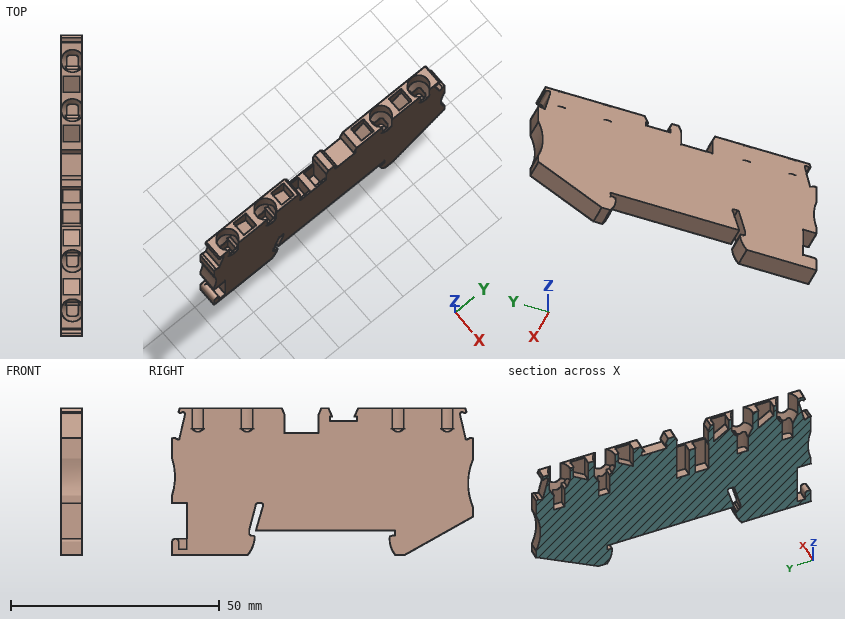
import cadquery as cq
import math

WIDTH = 5.15
LENGTH = 72.2
HEIGHT = 35.25
END = LENGTH / 2

LIP_TOP_Y = 34.25
LIP_TIP = (34.55, 34.35)
LIP_HEEL = (34.2, 34.0)
GROOVE_ROOF = (33.6, 34.25)
GROOVE_CORNER_MID = (33.1, 34.1)
GROOVE_TOP = (33.0, 33.7)
GROOVE_BOTTOM = (34.35, 27.95)
GROOVE_FLOOR_MID = (34.45, 27.72)
GROOVE_LEDGE = (34.7, 27.75)
LEDGE_PEAK = (35.45, 28.15)
END_TOP_Z = 28.05

BACK_HOLLOW_TOP_Z = 22.9
BACK_HOLLOW_BOTTOM_Z = 11.5
BACK_HOLLOW_DEPTH = 1.15
FRONT_HOLLOW_TOP_Z = 23.2
FRONT_HOLLOW_BOTTOM_Z = 14.3
FRONT_HOLLOW_DEPTH = 0.7

SLOPE_TOP_Z = 9.2
SLOPE_BOTTOM_Y = 19.7
FOOT_BOTTOM_Y = 17.45
FOOT_SIDE_MID = (16.5, 1.6)
FOOT_SIDE_TOP = (16.05, 3.9)
FOOT_NOSE = (16.1, 4.5)
FOOT_HEEL = (16.95, 4.75)
RAIL_WALL_Y = 17.35
RAIL_SEAT_Z = 5.9

SLOT_MOUTH_Y = -16.0
SLOT_LEFT_TOP = (-14.3, 11.8)
SLOT_LEFT_CORNER_MID = (-14.35, 12.3)
SLOT_ROOF_Y = (-14.7, -15.6)
SLOT_ROOF_Z = 12.45
SLOT_RIGHT_CORNER_MID = (-15.9, 12.2)
SLOT_RIGHT_TOP = (-16.05, 11.7)
SLOT_RIGHT_BOTTOM = (-17.55, 6.0)
CLAW_WALL = (-17.55, 5.0)
CLAW_HEEL = (-17.1, 4.65)
CLAW_NOSE = (-16.45, 4.65)
CLAW_NOSE_LOW = (-16.2, 4.3)
CLAW_SIDE_MID = (-16.8, 1.85)
CLAW_BOTTOM_Y = -17.95

RECESS_DEPTH = 3.55
RECESS_TOP_Z = 12.45
RECESS_BOTTOM_Z = 3.95
RECESS_LIP_THICKNESS = 1.6
RECESS_LIP_RADIUS = RECESS_LIP_THICKNESS / 2
RECESS_WEB = 0.75
RECESS_PIT_DEPTH = 2.5

LABEL_FLOOR_Z = 32.2
LABEL_SNAP_Z = 33.2
LABEL_BACK_Y = 8.25
LABEL_BACK_SNAP_Y = 7.6
LABEL_BACK_TOP_Y = 8.55
LABEL_FRONT_Y = 1.8
LABEL_FRONT_SNAP_Y = 2.35
LABEL_FRONT_TOP_Y = 1.45

CHANNEL_BACK_Y = -0.96
CHANNEL_FRONT_Y = -9.08
CHANNEL_FLOOR_Z = 29.3
CHANNEL_CHAMFER_Y = 0.65
CHANNEL_CHAMFER_Z = 1.55
SOCKET_WIDTH = 4.2
BACK_SOCKET_LENGTH = 3.1
FRONT_SOCKET_LENGTH = 3.4
SOCKET_RIB = 1.75
SOCKET_DEPTH = 8.0

ENTRIES_PER_SIDE = 2
ENTRY_PITCH = 11.8
FUNNEL_Y = 18.1
FUNNEL_X = 0.23
FUNNEL_RADIUS = 2.7
FUNNEL_STRAIGHT = 5.0
CONE_DEPTH = 2.9
CONE_END_RADIUS = 1.2
BORE_WIDTH = 2.85
BORE_OUTER_Y = 1.4
BORE_INNER_Y = 1.25
BORE_CORNER_RADIUS = 0.8
BORE_FLOOR_DEPTH = 12.0
RAMP_BREAK_Y = 1.95
RAMP_UPPER_ANGLE = 24.0
RAMP_LOWER_ANGLE = 58.0
RAMP_RISE = 1.0

TOOL_Y = 12.5
TOOL_SIZE = 3.85
TOOL_SHALLOW_DEPTH = 3.0
TOOL_FLOOR_ANGLE = 56.0


def front_end(point):
    """The matching point at the -Y end."""
    return (-point[0], point[1])


def hollow_mid(side, top_z, bottom_z, depth):
    return (side * (END - depth), (top_z + bottom_z) / 2)


def housing():
    corner = RECESS_LIP_RADIUS
    corner_mid = corner * (1 - math.sqrt(0.5))
    shoulder_z = HEIGHT - CHANNEL_CHAMFER_Z
    back_mid = hollow_mid(1, BACK_HOLLOW_TOP_Z, BACK_HOLLOW_BOTTOM_Z, BACK_HOLLOW_DEPTH)
    front_mid = hollow_mid(-1, FRONT_HOLLOW_TOP_Z, FRONT_HOLLOW_BOTTOM_Z, FRONT_HOLLOW_DEPTH)
    outline = (
        cq.Workplane("YZ", origin=(-WIDTH / 2, 0, 0))
        .moveTo(LIP_TOP_Y, HEIGHT)
        .lineTo(*LIP_TIP)
        .lineTo(*LIP_HEEL)
        .lineTo(*GROOVE_ROOF)
        .threePointArc(GROOVE_CORNER_MID, GROOVE_TOP)
        .lineTo(*GROOVE_BOTTOM)
        .threePointArc(GROOVE_FLOOR_MID, GROOVE_LEDGE)
        .lineTo(*LEDGE_PEAK)
        .lineTo(END, END_TOP_Z)
        .lineTo(END, BACK_HOLLOW_TOP_Z)
        .threePointArc(back_mid, (END, BACK_HOLLOW_BOTTOM_Z))
        .lineTo(END, SLOPE_TOP_Z)
        .lineTo(SLOPE_BOTTOM_Y, 0)
        .lineTo(FOOT_BOTTOM_Y, 0)
        .threePointArc(FOOT_SIDE_MID, FOOT_SIDE_TOP)
        .lineTo(*FOOT_NOSE)
        .lineTo(*FOOT_HEEL)
        .lineTo(RAIL_WALL_Y, FOOT_HEEL[1])
        .lineTo(RAIL_WALL_Y, RAIL_SEAT_Z)
        .lineTo(SLOT_MOUTH_Y, RAIL_SEAT_Z)
        .lineTo(*SLOT_LEFT_TOP)
        .threePointArc(SLOT_LEFT_CORNER_MID, (SLOT_ROOF_Y[0], SLOT_ROOF_Z))
        .lineTo(SLOT_ROOF_Y[1], SLOT_ROOF_Z)
        .threePointArc(SLOT_RIGHT_CORNER_MID, SLOT_RIGHT_TOP)
        .lineTo(*SLOT_RIGHT_BOTTOM)
        .lineTo(*CLAW_WALL)
        .lineTo(*CLAW_HEEL)
        .lineTo(*CLAW_NOSE)
        .lineTo(*CLAW_NOSE_LOW)
        .threePointArc(CLAW_SIDE_MID, (CLAW_BOTTOM_Y, 0))
        .lineTo(-END, 0)
        .lineTo(-END, RECESS_BOTTOM_Z - corner)
        .threePointArc(
            (-END + corner_mid, RECESS_BOTTOM_Z - corner_mid), (-END + corner, RECESS_BOTTOM_Z)
        )
        .lineTo(-END + RECESS_DEPTH, RECESS_BOTTOM_Z)
        .lineTo(-END + RECESS_DEPTH, RECESS_TOP_Z)
        .lineTo(-END, RECESS_TOP_Z)
        .lineTo(-END, FRONT_HOLLOW_BOTTOM_Z)
        .threePointArc(front_mid, (-END, FRONT_HOLLOW_TOP_Z))
        .lineTo(-END, END_TOP_Z)
        .lineTo(*front_end(LEDGE_PEAK))
        .lineTo(*front_end(GROOVE_LEDGE))
        .threePointArc(front_end(GROOVE_FLOOR_MID), front_end(GROOVE_BOTTOM))
        .lineTo(*front_end(GROOVE_TOP))
        .threePointArc(front_end(GROOVE_CORNER_MID), front_end(GROOVE_ROOF))
        .lineTo(*front_end(LIP_HEEL))
        .lineTo(*front_end(LIP_TIP))
        .lineTo(-LIP_TOP_Y, HEIGHT)
        .lineTo(CHANNEL_FRONT_Y - CHANNEL_CHAMFER_Y, HEIGHT)
        .lineTo(CHANNEL_FRONT_Y, shoulder_z)
        .lineTo(CHANNEL_FRONT_Y, CHANNEL_FLOOR_Z)
        .lineTo(CHANNEL_BACK_Y, CHANNEL_FLOOR_Z)
        .lineTo(CHANNEL_BACK_Y, shoulder_z)
        .lineTo(CHANNEL_BACK_Y + CHANNEL_CHAMFER_Y, HEIGHT)
        .lineTo(LABEL_FRONT_TOP_Y, HEIGHT)
        .lineTo(LABEL_FRONT_SNAP_Y, LABEL_SNAP_Z)
        .lineTo(LABEL_FRONT_Y, LABEL_SNAP_Z)
        .lineTo(LABEL_FRONT_Y, LABEL_FLOOR_Z)
        .lineTo(LABEL_BACK_Y, LABEL_FLOOR_Z)
        .lineTo(LABEL_BACK_Y, LABEL_SNAP_Z)
        .lineTo(LABEL_BACK_SNAP_Y, LABEL_SNAP_Z)
        .lineTo(LABEL_BACK_TOP_Y, HEIGHT)
        .close()
    )
    return outline.extrude(WIDTH)


def recess_pit():
    """Void behind the rounded recess lip, open at +X and closed by a thin web at -X."""
    back_y = -END + RECESS_DEPTH
    lip_y = -END + RECESS_LIP_THICKNESS
    radius = RECESS_LIP_RADIUS
    corner_mid = radius * (1 - math.sqrt(0.5))
    return (
        cq.Workplane("YZ", origin=(RECESS_WEB - WIDTH / 2, 0, 0))
        .moveTo(back_y, RECESS_BOTTOM_Z)
        .lineTo(back_y, RECESS_BOTTOM_Z - RECESS_PIT_DEPTH)
        .lineTo(lip_y, RECESS_BOTTOM_Z - RECESS_PIT_DEPTH)
        .lineTo(lip_y, RECESS_BOTTOM_Z - radius)
        .threePointArc(
            (lip_y - corner_mid, RECESS_BOTTOM_Z - corner_mid), (lip_y - radius, RECESS_BOTTOM_Z)
        )
        .close()
        .extrude(WIDTH)
    )


def wire_funnel():
    """Void of one wire entry at the origin, top at Z = 0, the middle of the part towards -Y."""
    shaft = cq.Workplane("XY").circle(FUNNEL_RADIUS).extrude(-FUNNEL_STRAIGHT)
    cone = (
        cq.Workplane("XY", origin=(0, 0, -FUNNEL_STRAIGHT))
        .circle(FUNNEL_RADIUS)
        .workplane(offset=-CONE_DEPTH)
        .circle(CONE_END_RADIUS)
        .loft()
    )
    bore = (
        cq.Workplane("XY")
        .center(0, (BORE_OUTER_Y - BORE_INNER_Y) / 2)
        .rect(BORE_WIDTH, BORE_OUTER_Y + BORE_INNER_Y)
        .extrude(-BORE_FLOOR_DEPTH)
        .edges("|Z and >Y")
        .fillet(BORE_CORNER_RADIUS)
    )
    low_z = -FUNNEL_STRAIGHT - CONE_DEPTH
    rim_z = RAMP_RISE - FUNNEL_STRAIGHT
    break_z = rim_z - (FUNNEL_RADIUS - RAMP_BREAK_Y) / math.tan(math.radians(RAMP_UPPER_ANGLE))
    foot_z = break_z - (RAMP_BREAK_Y - BORE_INNER_Y) / math.tan(math.radians(RAMP_LOWER_ANGLE))
    ramp = (
        cq.Workplane("YZ")
        .moveTo(-BORE_INNER_Y, low_z)
        .lineTo(-BORE_INNER_Y, foot_z)
        .lineTo(-RAMP_BREAK_Y, break_z)
        .lineTo(-FUNNEL_RADIUS, rim_z)
        .lineTo(-FUNNEL_RADIUS, low_z)
        .close()
        .extrude(FUNNEL_RADIUS, both=True)
    )
    return shaft.union(cone).union(bore).cut(ramp)


def tool_pocket():
    """Void of one tool pocket at the origin, top at Z = 0, its deep side towards -Y."""
    half = TOOL_SIZE / 2
    deep = TOOL_SHALLOW_DEPTH + TOOL_SIZE / math.tan(math.radians(TOOL_FLOOR_ANGLE))
    return (
        cq.Workplane("YZ")
        .moveTo(half, 0)
        .lineTo(half, -TOOL_SHALLOW_DEPTH)
        .lineTo(-half, -deep)
        .lineTo(-half, 0)
        .close()
        .extrude(half, both=True)
    )


def bridge_socket(back_y, length):
    """Void of one socket in the channel floor, from `back_y` towards -Y."""
    return (
        cq.Workplane("XY", origin=(0, back_y - length / 2, CHANNEL_FLOOR_Z))
        .rect(SOCKET_WIDTH, length)
        .extrude(-SOCKET_DEPTH)
    )


result = housing().cut(recess_pit())

for step in range(ENTRIES_PER_SIDE):
    shift = step * ENTRY_PITCH
    funnel = wire_funnel().translate((FUNNEL_X, FUNNEL_Y + shift, HEIGHT))
    pocket = tool_pocket().translate((0, TOOL_Y + shift, HEIGHT))
    for void in (funnel, pocket):
        result = result.cut(void).cut(void.mirror("XZ"))

front_socket_back_y = CHANNEL_BACK_Y - BACK_SOCKET_LENGTH - SOCKET_RIB
result = result.cut(bridge_socket(CHANNEL_BACK_Y, BACK_SOCKET_LENGTH))
result = result.cut(bridge_socket(front_socket_back_y, FRONT_SOCKET_LENGTH))